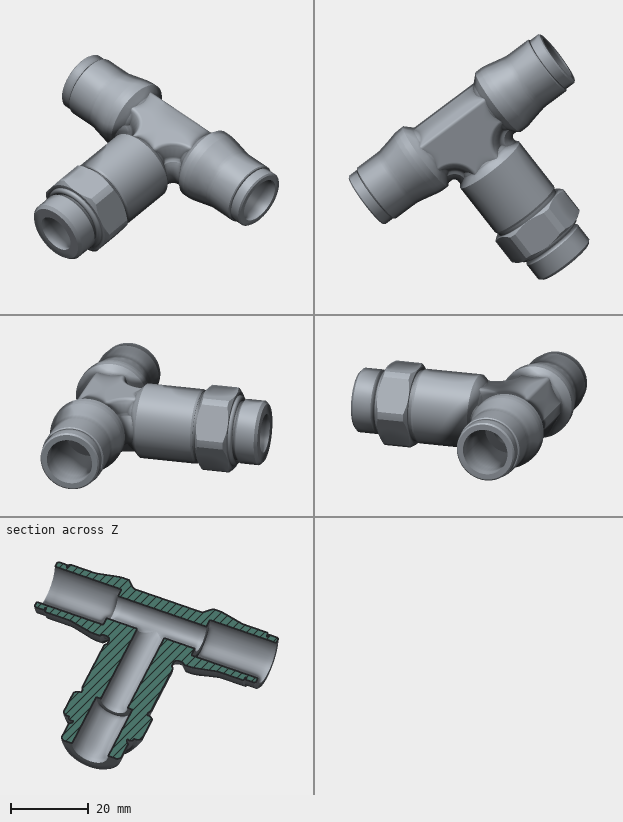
import cadquery as cq
import math


half_length = 31.0
body_radius = 9.7
bore_radius = 3.7
shoulder_start = 11.8
shoulder_slope_end = 9.85
shoulder_radius = 7.8
shoulder_tip = 8.85
shoulder_tip_radius = 7.25
shoulder_blend_bulge = 0.05

collar_radius = 7.8
collar_length = 2.85
collar_chamfer = 0.4
groove_radius = 7.05
groove_width = 0.25
sleeve_radius = 8.25
sleeve_chamfer = 0.25
flare_outer = 20.6
flare_inner = 14.1
flare_blend = 0.7
socket_radius = 6.0
socket_floor = 12.4

branch_length = 43.85
barrel_end = 26.5
barrel_chamfer = 0.55
barrel_rim_radius = 9.4
neck_radius = 9.25
nut_start = 27.9
nut_end = 36.3
nut_flats = 20.0
nut_corner_radius = 11.05
nut_chamfer = 0.75
seal_ring_radius = 8.25
seal_section_radius = 0.85
seal_end = 37.25
relief_radius = 7.6
relief_end = 37.6
thread_radius = 8.4
thread_chamfer = thread_radius - relief_radius
port_radius = 5.0
port_floor = nut_start

block_half_height = 7.55
block_back = 7.55
flank_angle = math.radians(60)
edge_radius = 1.1
back_edge = 3.95

scoop_axis = 10.15
scoop_run = shoulder_start - scoop_axis
scoop_edge = 6.5
ledge_half_height = 3.95
ledge_inner = 3.3
rim_radius = 2.85
rim_height = 3.6
core_radius = 1.1
foot_blend = 0.45


def shoulder(profile):
    """Finish a half profile that has arrived at the full body radius, closing it on the axis."""
    blend_mid = (
        (shoulder_slope_end + shoulder_tip) / 2 - shoulder_blend_bulge,
        (shoulder_radius + shoulder_tip_radius) / 2,
    )
    return (
        profile.lineTo(shoulder_start, body_radius)
        .lineTo(shoulder_slope_end, shoulder_radius)
        .threePointArc(blend_mid, (shoulder_tip, shoulder_tip_radius))
        .lineTo(shoulder_tip, 0)
        .close()
    )


def revolve_about_x(profile):
    return profile.revolve(360, (0, 0, 0), (1, 0, 0))


def make_socket():
    """Tube socket on the +X side."""
    collar_end = half_length - collar_length
    sleeve_end = collar_end - groove_width
    flare = math.atan2(body_radius - sleeve_radius, flare_outer - flare_inner)
    blend_x = flare_blend * math.cos(flare)
    blend_r = flare_blend * math.sin(flare)
    profile = (
        cq.Workplane("XY")
        .moveTo(half_length, 0)
        .lineTo(half_length, collar_radius - collar_chamfer)
        .lineTo(half_length - collar_chamfer, collar_radius)
        .lineTo(collar_end, collar_radius)
        .lineTo(collar_end, groove_radius)
        .lineTo(sleeve_end, groove_radius)
        .lineTo(sleeve_end, sleeve_radius - sleeve_chamfer)
        .lineTo(sleeve_end - sleeve_chamfer, sleeve_radius)
        .lineTo(flare_outer + flare_blend, sleeve_radius)
        .tangentArcPoint((flare_outer - blend_x, sleeve_radius + blend_r), relative=False)
        .lineTo(flare_inner + blend_x, body_radius - blend_r)
        .tangentArcPoint((flare_inner - flare_blend, body_radius), relative=False)
    )
    return revolve_about_x(shoulder(profile))


def make_nut():
    """Hexagon with turned corners, chamfered on both ends, along +X."""
    length = nut_end - nut_start
    hexagon = (
        cq.Workplane("YZ", origin=(nut_start, 0, 0))
        .polygon(6, nut_flats / math.cos(math.pi / 6))
        .extrude(length)
    )
    face_radius = nut_flats / 2
    turned = revolve_about_x(
        cq.Workplane("XY").polyline([
            (nut_start, 0),
            (nut_start, face_radius),
            (nut_start + nut_chamfer, nut_corner_radius),
            (nut_end - nut_chamfer, nut_corner_radius),
            (nut_end, face_radius),
            (nut_end, 0),
        ]).close()
    )
    return hexagon.intersect(turned)


def make_branch():
    """Barrel, nut and threaded end, built along +X and turned to -Y."""
    seal_centre = seal_end - seal_section_radius
    seal_inner_run = math.sqrt(seal_section_radius ** 2 - (seal_ring_radius - relief_radius) ** 2)
    profile = (
        cq.Workplane("XY")
        .moveTo(branch_length, 0)
        .lineTo(branch_length, thread_radius - thread_chamfer)
        .lineTo(branch_length - thread_chamfer, thread_radius)
        .lineTo(relief_end + thread_chamfer, thread_radius)
        .lineTo(relief_end, relief_radius)
        .lineTo(seal_centre + seal_inner_run, relief_radius)
        .threePointArc((seal_end, seal_ring_radius), (seal_centre, seal_ring_radius + seal_section_radius))
        .lineTo(nut_end, seal_ring_radius + seal_section_radius)
        .lineTo(nut_end, neck_radius)
        .lineTo(barrel_end + barrel_chamfer, neck_radius)
        .lineTo(barrel_end + barrel_chamfer, barrel_rim_radius)
        .lineTo(barrel_end, body_radius)
    )
    branch = revolve_about_x(shoulder(profile)).union(make_nut())
    return branch.rotate((0, 0, 0), (0, 0, 1), -90)


def flank_edge(sharp_corner):
    """Tangent points and middle of the rounding between a flat face and a flank.

    Returned as (offset, height) pairs, the flank falling towards larger offsets.
    """
    tangent = edge_radius * math.tan(flank_angle / 2)
    centre = (sharp_corner - tangent, block_half_height - edge_radius)
    return [
        (centre[0] + edge_radius * math.sin(a), centre[1] + edge_radius * math.cos(a))
        for a in (0, flank_angle / 2, flank_angle)
    ]


def mirrored(point):
    return (point[0], -point[1])


def make_block():
    """Flat-sided centre block with sloping back flanks."""
    top, middle, flank = flank_edge(back_edge)
    back = (block_back, flank[1] - (block_back - flank[0]) * math.tan(flank_angle))
    return (
        cq.Workplane("YZ", origin=(-shoulder_start, 0, 0))
        .moveTo(-shoulder_start, block_half_height)
        .lineTo(*top)
        .threePointArc(middle, flank)
        .lineTo(*back)
        .lineTo(*mirrored(back))
        .lineTo(*mirrored(flank))
        .threePointArc(mirrored(middle), mirrored(top))
        .lineTo(-shoulder_start, -block_half_height)
        .close()
        .extrude(2 * shoulder_start)
    )


def scoop_section(inner_edge):
    """Section of a corner scoop with the scoop radius along X, closed at the given inner edge."""
    top, middle, flank = [(-offset, height) for offset, height in flank_edge(-scoop_edge)]
    foot_corner = flank[0] - (flank[1] - ledge_half_height) / math.tan(flank_angle)
    foot = (
        foot_corner + foot_blend * math.cos(flank_angle),
        ledge_half_height + foot_blend * math.sin(flank_angle),
    )
    ledge_start = (foot_corner - foot_blend, ledge_half_height)
    ledge_end = (ledge_inner, ledge_half_height)
    rim = (rim_radius, rim_height)
    return (
        cq.Workplane("XZ")
        .moveTo(inner_edge, block_half_height)
        .lineTo(*top)
        .threePointArc(middle, flank)
        .lineTo(*foot)
        .tangentArcPoint(ledge_start, relative=False)
        .lineTo(*ledge_end)
        .lineTo(*rim)
        .threePointArc((core_radius, 0), mirrored(rim))
        .lineTo(*mirrored(ledge_end))
        .lineTo(*mirrored(ledge_start))
        .tangentArcPoint(mirrored(foot), relative=False)
        .lineTo(*mirrored(flank))
        .threePointArc(mirrored(middle), mirrored(top))
        .lineTo(inner_edge, -block_half_height)
        .close()
    )


def cut_corner(block):
    """Hollow the +X corner: a turned bend, then straight runs into the branch and the socket."""
    bend = scoop_section(0).revolve(360, (0, 0, 0), (0, 1, 0))
    run = scoop_section(-scoop_run).extrude(scoop_run)
    branch_run = run.mirror("YZ")
    socket_run = run.rotate((0, 0, 0), (0, 0, 1), 90)
    for cutter in (bend, branch_run, socket_run):
        block = block.cut(cutter.translate((scoop_axis, -scoop_axis, 0)))
    return block


def make_bore(direction, start, end, radius):
    """Cylinder along a direction between two distances from the centre."""
    origin = tuple(start * component for component in direction)
    return cq.Workplane(cq.Plane(origin, (0, 0, 1), direction)).circle(radius).extrude(end - start)


result = make_block()
for _ in range(2):
    result = cut_corner(result).mirror("YZ")
socket = make_socket()
result = result.union(socket).union(socket.mirror("YZ")).union(make_branch())

left = (-1, 0, 0)
right = (1, 0, 0)
front = (0, -1, 0)
for direction in (left, right):
    result = result.cut(make_bore(direction, 0, half_length, bore_radius))
    result = result.cut(make_bore(direction, socket_floor, half_length, socket_radius))
result = result.cut(make_bore(front, 0, branch_length, bore_radius))
result = result.cut(make_bore(front, port_floor, branch_length, port_radius))